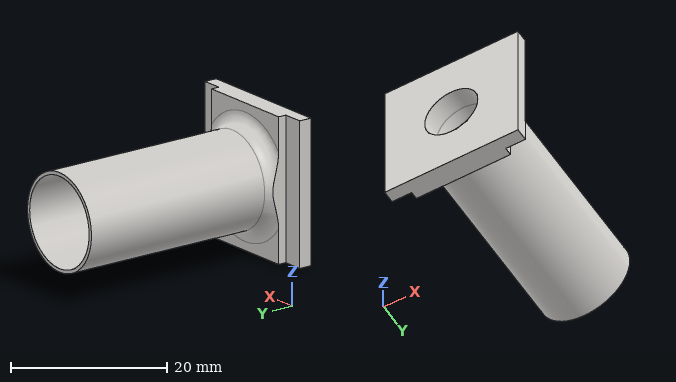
import cadquery as cq

total_length = 33.0
flange_side = 20.0

plate_thickness = 1.85
step_width = 14.12
step_end = 3.0

tube_diameter = 13.5
root_fillet = 2.0

entry_diameter = 7.95
throat_diameter = 7.75
wide_bore_diameter = 12.5
entry_end = step_end
throat_end = step_end + root_fillet


def cylinder(diameter, start, end):
    """Cylinder on the Y axis, between two distances from the front face."""
    return cq.Workplane("XZ", origin=(0, start, 0)).circle(diameter / 2).extrude(start - end)


def block(width, start, end):
    """Full-height block centred on the Y axis."""
    return cq.Workplane("XZ", origin=(0, start, 0)).rect(width, flange_side).extrude(start - end)


def root_flare():
    """Concave ring blending the tube into the step, trimmed to the step width."""
    tube_radius = tube_diameter / 2
    fillet_end = step_end + root_fillet
    arc_middle = root_fillet * (1 - 0.5**0.5)
    ring = (
        cq.Workplane("XY")
        .moveTo(0, step_end)
        .lineTo(tube_radius + root_fillet, step_end)
        .threePointArc((tube_radius + arc_middle, step_end + arc_middle), (tube_radius, fillet_end))
        .lineTo(0, fillet_end)
        .close()
        .revolve(360, (0, 0, 0), (0, 1, 0))
    )
    return ring.intersect(block(step_width, step_end, fillet_end))


def tapered_throat():
    """Cone narrowing from the straight entry to the wide bore."""
    return (
        cq.Workplane("XZ", origin=(0, entry_end, 0))
        .circle(entry_diameter / 2)
        .workplane(offset=entry_end - throat_end)
        .circle(throat_diameter / 2)
        .loft()
    )


body = (
    block(flange_side, 0, plate_thickness)
    .union(block(step_width, 0, step_end))
    .union(root_flare())
    .union(cylinder(tube_diameter, step_end, total_length))
)

result = (
    body.cut(cylinder(entry_diameter, 0, entry_end))
    .cut(tapered_throat())
    .cut(cylinder(wide_bore_diameter, throat_end, total_length))
)